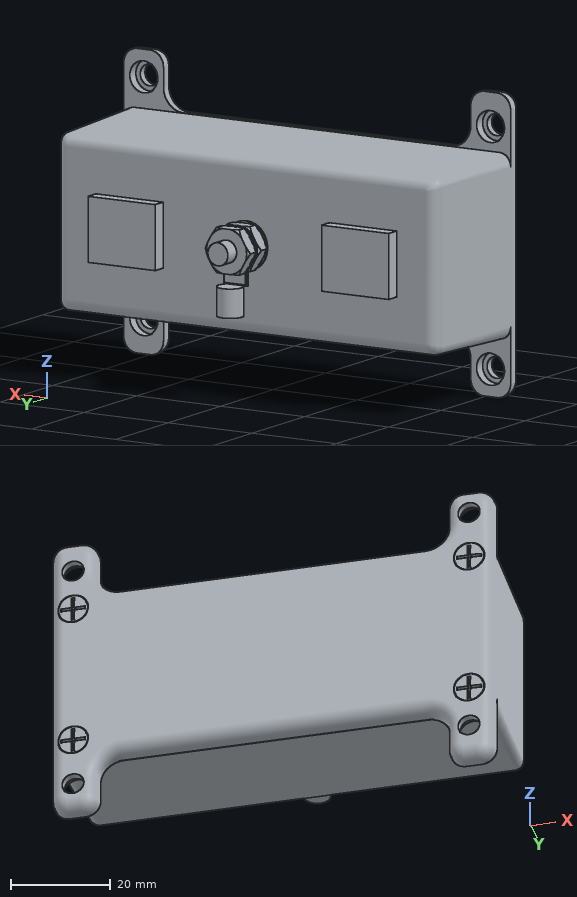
import cadquery as cq
import math

FLANGE_WIDTH = 92.2
FLANGE_HEIGHT = 62.79
FLANGE_THICKNESS = 4.2
EAR_WIDTH = 9.525
EAR_CORNER_RADIUS = 3.175
WAIST_HEIGHT = 38.6
WAIST_CORNER_RADIUS = 4.7625
FLANGE_EDGE_RADIUS = 3.05
FASTENER_X = 41.3

MOUNT_HOLE_DIAMETER = 4.5
MOUNT_HOLE_PITCH = 50.0
MOUNT_HOLE_SHIFT = 0.7
REAR_BORE_DIAMETER = 6.6
REAR_BORE_DEPTH = 2.3

SCREW_Z = 15.4
SCREW_DIAMETER = 6.35
RING_GROOVE_WIDTH = 0.1
SCREW_CUT_DEPTH = 1.0
SLOT_LENGTH = 5.1
SLOT_WIDTH = 0.6

BOX_WIDTH = FLANGE_WIDTH
BOX_HEIGHT = 38.4
BOX_BACK_Y = 31.15
BOX_DRAFT_DEGREES = 2.0
BOX_CORNER_RADIUS = 2.65
BOX_EDGE_RADIUS = 2.54

PAD_WIDTH = 16.0
PAD_HEIGHT = 13.6
PAD_THICKNESS = 3.0
PAD_X = 27.8

STUD_TIP_Y = 41.96
STUD_DIAMETER = 4.7625
COLLAR_DIAMETER = 10.2
COLLAR_HEIGHT = 0.3
NUT_ACROSS_FLATS = 9.3
NUT_HEIGHT = 3.06
NUT_FACE_DIAMETER = 9.5
NUT_CHAMFER_DEGREES = 40.0
LUG_THICKNESS = 1.05
LUG_RING_DIAMETER = 9.6
LUG_EDGE_CHAMFER = 0.28
BARREL_DIAMETER = 5.5
BARREL_TOP_Z = -7.4
BARREL_BOTTOM_Z = -13.45

LOWER_NUT_Y = BOX_BACK_Y + COLLAR_HEIGHT
LUG_Y = LOWER_NUT_Y + NUT_HEIGHT
UPPER_NUT_Y = LUG_Y + LUG_THICKNESS


def plane_at(y):
    """XZ workplane at depth y; local x is X, local y is Z, and a negative extrusion runs to +Y."""
    return cq.Workplane("XZ", origin=(0, y, 0))


def disc(y, diameter, thickness):
    """Cylinder about the stud axis, from depth y backwards."""
    return plane_at(y).circle(diameter / 2).extrude(-thickness)


def make_flange():
    """H-shaped plate with its front edge rounded."""
    half_width = FLANGE_WIDTH / 2
    half_height = FLANGE_HEIGHT / 2
    ear_inner_x = half_width - EAR_WIDTH
    waist_z = WAIST_HEIGHT / 2
    upper_outline = [
        (half_width, half_height),
        (ear_inner_x, half_height),
        (ear_inner_x, waist_z),
        (-ear_inner_x, waist_z),
        (-ear_inner_x, half_height),
        (-half_width, half_height),
    ]
    lower_outline = [(x, -z) for x, z in reversed(upper_outline)]
    flange = plane_at(0).polyline(upper_outline + lower_outline).close().extrude(-FLANGE_THICKNESS)

    flange = flange.edges("|Y").edges(">Z or <Z").fillet(EAR_CORNER_RADIUS)
    waist_zone = cq.selectors.BoxSelector(
        (-half_width, 0, -waist_z - EAR_CORNER_RADIUS),
        (half_width, FLANGE_THICKNESS, waist_z + EAR_CORNER_RADIUS),
    )
    flange = flange.edges("|Y").edges(waist_zone).fillet(WAIST_CORNER_RADIUS)
    return flange.faces("<Y").edges().fillet(FLANGE_EDGE_RADIUS)


def make_tapered_box():
    """Tapered block behind the flange with its back edge rounded."""
    base = cq.Sketch().rect(BOX_WIDTH, BOX_HEIGHT).vertices().fillet(BOX_CORNER_RADIUS)
    block = plane_at(FLANGE_THICKNESS).placeSketch(base)
    block = block.extrude(FLANGE_THICKNESS - BOX_BACK_Y, taper=BOX_DRAFT_DEGREES)
    return block.faces(">Y").edges().fillet(BOX_EDGE_RADIUS)


def mounting_holes():
    """Through holes in the ears, each widened from the back."""
    centers = [
        (side * FASTENER_X, end * MOUNT_HOLE_PITCH / 2 + side * MOUNT_HOLE_SHIFT)
        for side in (-1, 1)
        for end in (-1, 1)
    ]
    through = plane_at(0).pushPoints(centers).circle(MOUNT_HOLE_DIAMETER / 2).extrude(-FLANGE_THICKNESS)
    rear = plane_at(FLANGE_THICKNESS).pushPoints(centers).circle(REAR_BORE_DIAMETER / 2)
    return through.union(rear.extrude(REAR_BORE_DEPTH))


def screw_head_cuts():
    """Ring grooves and cross slots of the four screw heads."""
    centers = [(x, z) for x in (-FASTENER_X, FASTENER_X) for z in (-SCREW_Z, SCREW_Z)]
    front = plane_at(0).pushPoints(centers)
    groove_inner_radius = SCREW_DIAMETER / 2 - RING_GROOVE_WIDTH
    rings = front.circle(SCREW_DIAMETER / 2).circle(groove_inner_radius).extrude(-SCREW_CUT_DEPTH)
    level_slots = front.rect(SLOT_LENGTH, SLOT_WIDTH).extrude(-SCREW_CUT_DEPTH)
    upright_slots = front.rect(SLOT_WIDTH, SLOT_LENGTH).extrude(-SCREW_CUT_DEPTH)
    return rings.union(level_slots).union(upright_slots)


def make_housing():
    """Flange and tapered box in one piece."""
    housing = make_flange().union(make_tapered_box())
    return housing.cut(mounting_holes()).cut(screw_head_cuts())


def make_pad(x):
    return plane_at(BOX_BACK_Y).center(x, 0).rect(PAD_WIDTH, PAD_HEIGHT).extrude(-PAD_THICKNESS)


def make_stud():
    """Plain stud with a thin collar on the back of the box."""
    collar = disc(BOX_BACK_Y, COLLAR_DIAMETER, COLLAR_HEIGHT)
    return collar.union(disc(BOX_BACK_Y, STUD_DIAMETER, STUD_TIP_Y - BOX_BACK_Y))


def make_nut(y):
    """Hex nut from depth y backwards, its corners chamfered at both ends."""
    across_corners = NUT_ACROSS_FLATS / math.cos(math.pi / 6)
    hexagon = plane_at(y).polygon(6, across_corners).extrude(-NUT_HEIGHT)

    chamfer_inset = (across_corners - NUT_FACE_DIAMETER) / 2
    chamfer_height = chamfer_inset * math.tan(math.radians(NUT_CHAMFER_DEGREES))
    turned = disc(y, across_corners, NUT_HEIGHT)
    turned = turned.faces("<Y or >Y").chamfer(chamfer_height, chamfer_inset)
    return hexagon.intersect(turned).cut(disc(y, STUD_DIAMETER, NUT_HEIGHT))


def make_lug():
    """Ring, tongue and crimp barrel; the barrel starts at the same depth as the ring."""
    ring = disc(LUG_Y, LUG_RING_DIAMETER, LUG_THICKNESS)
    tongue = plane_at(LUG_Y).center(0, BARREL_TOP_Z / 2).rect(BARREL_DIAMETER, -BARREL_TOP_Z)
    blade = ring.union(tongue.extrude(-LUG_THICKNESS))
    blade = blade.faces("<Y or >Y").chamfer(LUG_EDGE_CHAMFER)

    barrel_axis_y = LUG_Y + BARREL_DIAMETER / 2
    barrel = cq.Workplane("XY", origin=(0, barrel_axis_y, BARREL_BOTTOM_Z)).circle(BARREL_DIAMETER / 2)
    barrel = barrel.extrude(BARREL_TOP_Z - BARREL_BOTTOM_Z)
    return blade.union(barrel).cut(disc(LUG_Y, STUD_DIAMETER, LUG_THICKNESS))


housing = make_housing()
pads = [make_pad(x) for x in (-PAD_X, PAD_X)]
stud = make_stud()
nuts = [make_nut(y) for y in (LOWER_NUT_Y, UPPER_NUT_Y)]
lug = make_lug()

bodies = [housing, *pads, stud, *nuts, lug]
result = cq.Compound.makeCompound([body.val() for body in bodies])